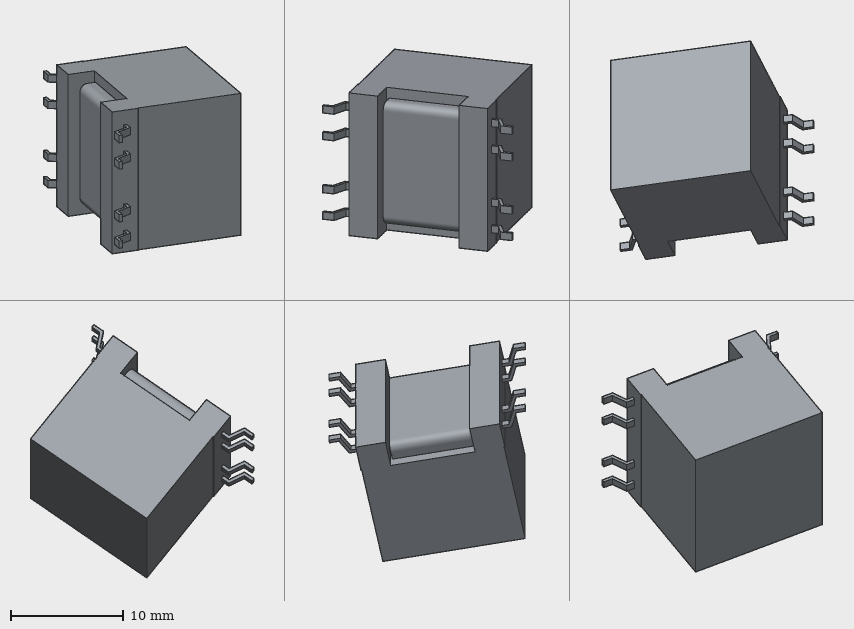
import cadquery as cq
import math

overall_width = 17.76
overall_depth = 12.7
height = 13.46

core_width = 12.9
core_depth = 9.9

rail_outer_span = 13.04
rail_gap = 7.64
rail_depth = 2.5

coil_width = 7.39
coil_height = 11.49
coil_projection = 1.5
coil_embed = 2.66
coil_corner_radius = 0.76
coil_end_radius = 0.2

web_depth = 0.5
web_height = coil_height - 2 * coil_corner_radius

pin_thickness = 0.3
pin_width = 0.7
pin_pitch = 2.5
pin_positions = [-2 * pin_pitch, -pin_pitch, pin_pitch, 2 * pin_pitch]
pin_shoulder_front = 1.4
foot_length = 1.05
pin_slope_run = 0.67
pin_root_overlap = 0.18


def box_between(x_range, y_range, z_size):
    """Box spanning the given X and Y ranges, centred on Z = 0."""
    x_size = x_range[1] - x_range[0]
    y_size = y_range[1] - y_range[0]
    center = (sum(x_range) / 2, sum(y_range) / 2, 0)
    return cq.Workplane("XY").box(x_size, y_size, z_size).translate(center)


def make_coil():
    """Winding block with large rounds along X and small rounds about both ends."""
    half_width = coil_width / 2
    block = box_between((-half_width, half_width), (-coil_projection, coil_embed), coil_height)
    block = block.edges("|X").fillet(coil_corner_radius)
    return block.faces("<X or >X").edges().fillet(coil_end_radius)


def make_pin(z_center):
    """Left-hand terminal of constant thickness: foot, sloping leg and shoulder."""
    foot_front_y = core_depth - overall_depth
    shoulder_front_y = -pin_shoulder_front
    slope_angle = math.atan2(shoulder_front_y - foot_front_y, pin_slope_run)
    miter_shift = pin_thickness * math.tan(slope_angle / 2)

    tip_x = -overall_width / 2
    foot_bend_x = tip_x + foot_length
    shoulder_bend_x = foot_bend_x + pin_slope_run
    root_x = -rail_outer_span / 2 + pin_root_overlap

    outline = [
        (tip_x, foot_front_y),
        (foot_bend_x, foot_front_y),
        (shoulder_bend_x, shoulder_front_y),
        (root_x, shoulder_front_y),
        (root_x, shoulder_front_y + pin_thickness),
        (shoulder_bend_x - miter_shift, shoulder_front_y + pin_thickness),
        (foot_bend_x - miter_shift, foot_front_y + pin_thickness),
        (tip_x, foot_front_y + pin_thickness),
    ]
    plane = cq.Workplane("XY", origin=(0, 0, z_center))
    return plane.polyline(outline).close().extrude(pin_width / 2, both=True)


core = box_between((-core_width / 2, core_width / 2), (0, core_depth), height)
web = box_between((-rail_gap / 2, rail_gap / 2), (-web_depth, 0), web_height)
result = core.union(web).union(make_coil())

left_side = box_between((-rail_outer_span / 2, -rail_gap / 2), (-rail_depth, 0), height)
for pin_z in pin_positions:
    left_side = left_side.union(make_pin(pin_z))
result = result.union(left_side).union(left_side.mirror("YZ"))